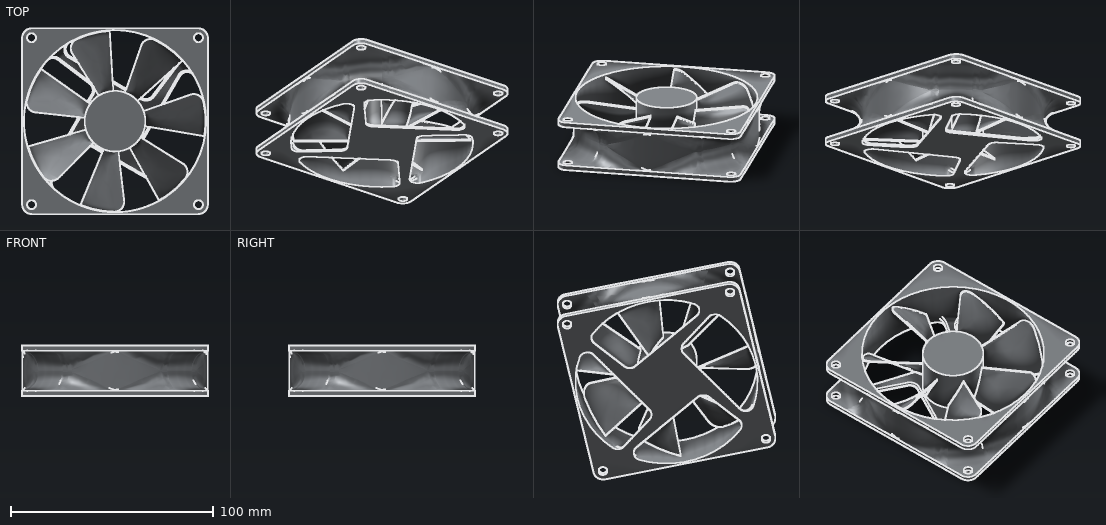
import cadquery as cq
import math

side = 92.0
height = 25.0
flange_thickness = 2.5
corner_radius = 5.0
bore_radius = 45.0
hole_diameter = 4.33
hole_spacing = 82.5
half_side = side / 2
mid_height = height / 2
duct_half_height = mid_height - flange_thickness
edge_margin = 0.02
fillet_limit = half_side - edge_margin
duct_radius = fillet_limit - edge_margin
fillet_radius = duct_half_height - edge_margin
full_fillet_angle = math.degrees(math.acos(fillet_limit / (duct_radius + fillet_radius)))
rough_bore_radius = bore_radius - 1.0
half_shares = [0.06, 0.15, 0.3, 0.5, 0.7, 0.86, 1]
section_shares = [-share for share in reversed(half_shares)] + [0] + half_shares

strut_count = 4
base_thickness = 1.5
base_half_side = 16.7
base_angle = 60.0
base_chamfer = 0.9
strut_root_width = 7.4
strut_taper_angle = 7.1
root_fillet = 4.0
strut_end_fillet = 4.0
flare_radius = 4.5
flare_start = bore_radius - flare_radius
flare_top = base_thickness + flare_radius
strut_end_radius = (bore_radius + duct_radius) / 2

hub_radius = 15.0
blade_count = 7
blade_tip_radius = 44.8
blade_lead_angle = 19.5
blade_sweep_angle = 29.1
blade_thickness = 0.8
blade_corner_radius = 5.0
half_sweep = math.radians(blade_sweep_angle / 2)
lead_height_at_hub = 20.2
lead_height_at_tip = 25.97
trail_height_at_hub = 3.6
trail_height_at_tip = 7.5


def copies_around_axis(shape, count):
    """Copies of a shape, evenly spaced about the Z axis."""
    return [shape.rotate((0, 0, 0), (0, 0, 1), 360 / count * number) for number in range(count)]


def duct_section(angle):
    """Section of the duct wall in the vertical plane at this angle from the X axis.

    Each fillet arc starts tangent to the duct and ends on the flange, or at its edge if that is nearer.
    """
    edge_radius = fillet_limit / math.cos(math.radians(angle))
    reach = min(edge_radius - duct_radius, fillet_radius)
    arc_height = math.sqrt(2 * fillet_radius * reach - reach**2)
    half_arc = math.acos(1 - reach / fillet_radius) / 2
    arc_start = duct_half_height - arc_height
    arc_mid_radius = duct_radius + fillet_radius * (1 - math.cos(half_arc))
    arc_mid = arc_start + fillet_radius * math.sin(half_arc)
    arc_end_radius = duct_radius + reach
    direction = (math.cos(math.radians(angle)), math.sin(math.radians(angle)), 0)
    normal = (direction[1], -direction[0], 0)
    return (
        cq.Workplane(cq.Plane(origin=(0, 0, mid_height), xDir=direction, normal=normal))
        .moveTo(rough_bore_radius, -duct_half_height)
        .lineTo(arc_end_radius, -duct_half_height)
        .threePointArc((arc_mid_radius, -arc_mid), (duct_radius, -arc_start))
        .lineTo(duct_radius, arc_start)
        .threePointArc((arc_mid_radius, arc_mid), (arc_end_radius, duct_half_height))
        .lineTo(rough_bore_radius, duct_half_height)
        .close()
    )


def faces_without_ends(wall):
    """Faces of a stretch of duct wall, leaving out its two flat upright ends."""
    ends = wall.faces("%PLANE").faces("#Z").vals()
    return [face for face in wall.faces().vals() if not any(face.isSame(end) for end in ends)]


def make_duct():
    """Closed ring of four side walls and four corner walls, sewn along their shared sections."""
    sections = [duct_section(share * full_fillet_angle).wires().val() for share in section_shares]
    side_wall = cq.Workplane(cq.Solid.makeLoft(sections))
    corner_angle = 90 - 2 * full_fillet_angle
    corner_wall = duct_section(full_fillet_angle).revolve(corner_angle, (0, 0, 0), (0, 1, 0))
    faces = []
    for wall in (side_wall, corner_wall):
        for face in faces_without_ends(wall):
            faces += copies_around_axis(face, 4)
    return cq.Workplane(cq.Solid.makeSolid(cq.Shell.makeShell(faces)))


def make_flange(bottom):
    return (
        cq.Workplane("XY", origin=(0, 0, bottom))
        .rect(side, side)
        .extrude(flange_thickness)
        .edges("|Z")
        .fillet(corner_radius)
        .faces(">Z")
        .workplane()
        .rect(hole_spacing, hole_spacing, forConstruction=True)
        .vertices()
        .hole(hole_diameter)
    )


def fillet_upright_edges(body, x, y, radius):
    """Fillet the upright edge nearest to (x, y) and its three quarter-turn copies."""
    for place in copies_around_axis(cq.Vertex.makeVertex(x, y, flare_top / 2), strut_count):
        nearest = cq.NearestToPointSelector(place.toTuple())
        body = body.edges("|Z").edges(nearest).fillet(radius)
    return body


def make_motor_base():
    """Square base with a tapered strut running on along each side, flared where it meets the bore."""
    strut_outer = -base_half_side
    strut_inner = strut_outer + strut_root_width
    taper = math.tan(math.radians(strut_taper_angle))
    strut_inner_at_end = strut_inner - taper * (strut_end_radius - base_half_side)
    strut = (
        cq.Workplane("XY")
        .moveTo(0, strut_outer)
        .lineTo(strut_end_radius, strut_outer)
        .lineTo(strut_end_radius, strut_inner_at_end)
        .lineTo(base_half_side, strut_inner)
        .lineTo(0, strut_inner)
        .close()
        .extrude(flare_top)
    )
    base = cq.Workplane("XY").rect(2 * base_half_side, 2 * base_half_side).extrude(flare_top)
    for copy in copies_around_axis(strut, strut_count):
        base = base.union(copy)
    base = base.intersect(cq.Workplane("XY").circle(strut_end_radius).extrude(flare_top))
    base = base.union(cq.Workplane("XY").circle(strut_end_radius).circle(bore_radius).extrude(flare_top))

    base = fillet_upright_edges(base, base_half_side, strut_inner, root_fillet)
    for across in (strut_outer, strut_inner_at_end):
        along = math.sqrt(bore_radius**2 - across**2)
        base = fillet_upright_edges(base, along, across, strut_end_fillet)

    flare_mid = flare_radius * math.sqrt(0.5)
    flared_disc = (
        cq.Workplane("XZ")
        .lineTo(strut_end_radius, 0)
        .lineTo(strut_end_radius, flare_top)
        .lineTo(bore_radius, flare_top)
        .threePointArc((flare_start + flare_mid, flare_top - flare_mid), (flare_start, base_thickness))
        .lineTo(0, base_thickness)
        .close()
        .revolve(360, (0, 0, 0), (0, 1, 0))
    )
    base = base.intersect(flared_disc)

    top_face = base.faces(cq.NearestToPointSelector((0, 0, base_thickness)))
    foot_reach = flare_start - base_chamfer
    outline = [edge for edge in top_face.edges().vals() if math.hypot(*edge.Center().toTuple()[:2]) < foot_reach]
    return base.newObject(outline).chamfer(base_chamfer).rotate((0, 0, 0), (0, 0, 1), base_angle)


def make_housing():
    housing = make_duct()
    for bottom in (0, height - flange_thickness):
        housing = housing.union(make_flange(bottom))
    housing = housing.cut(cq.Workplane("XY").circle(bore_radius).extrude(height))
    return housing.union(make_motor_base())


def blade_section(distance):
    """Blade section across its middle line, at this distance from the axis."""
    half_width = distance * math.tan(half_sweep)
    edge_distance = distance / math.cos(half_sweep)
    share = (edge_distance - hub_radius) / (blade_tip_radius - hub_radius)
    lead = lead_height_at_hub + share * (lead_height_at_tip - lead_height_at_hub)
    trail = trail_height_at_hub + share * (trail_height_at_tip - trail_height_at_hub)
    return (
        cq.Workplane("YZ", origin=(distance, 0, 0))
        .moveTo(half_width, lead)
        .lineTo(-half_width, trail)
        .lineTo(-half_width, trail - blade_thickness)
        .lineTo(half_width, lead - blade_thickness)
        .close()
        .wires()
        .val()
    )


def make_blade():
    """Twisted blade between two straight radial edges, with the leading corner of its tip rounded."""
    twisted = cq.Workplane(cq.Solid.makeLoft([blade_section(hub_radius / 2), blade_section(bore_radius)], True))
    blank_height = 2 * height
    half_width = bore_radius * math.tan(half_sweep)
    blank = (
        cq.Workplane("XY")
        .polyline([(0, 0), (bore_radius, -half_width), (bore_radius, half_width)])
        .close()
        .extrude(blank_height)
        .intersect(cq.Workplane("XY").circle(blade_tip_radius).extrude(blank_height))
        .edges("|Z and >Y")
        .fillet(blade_corner_radius)
    )
    middle_angle = blade_lead_angle - blade_sweep_angle / 2
    return twisted.intersect(blank).rotate((0, 0, 0), (0, 0, 1), middle_angle)


def make_rotor():
    """Hub standing on the motor base, with its blades."""
    rotor = cq.Workplane("XY", origin=(0, 0, base_thickness)).circle(hub_radius).extrude(height - base_thickness)
    for blade in copies_around_axis(make_blade(), blade_count):
        rotor = rotor.union(blade)
    return rotor


housing = make_housing()
rotor = make_rotor()
result = cq.Compound.makeCompound([housing.val(), rotor.val()])